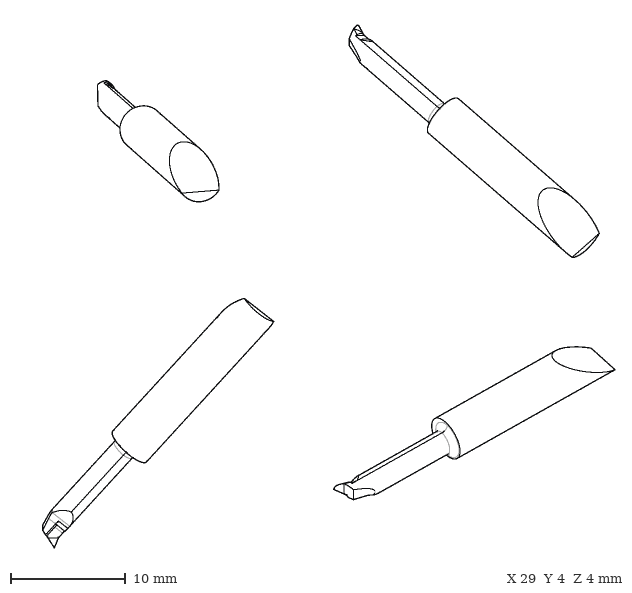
import cadquery as cq
import math

TOTAL_LENGTH = 29.0
SHANK_RADIUS = 2.0
SHANK_START = 11.55
SLANT_ANGLE = 30.0
SLANT_END_Z = -1.07

NECK_RADIUS = 1.28
CIRCLE_OFFSET = 0.44
FLARE_RADIUS = 0.58
CREASE_Y = -CIRCLE_OFFSET / 2
NECK_SIDE_Y = NECK_RADIUS - CIRCLE_OFFSET

TIP_Y = 1.2
NOSE_X = 0.7
NOSE_Y = -0.72
SIDE_FLAT_END_X = 2.67
HEAD_LENGTH = 1.0
INSERT_EDGE_Y = 0.15
INSERT_EDGE_X = NOSE_X * (TIP_Y - INSERT_EDGE_Y) / (TIP_Y - NOSE_Y)

BACK_MID_INSET = 0.32
BACK_MID_HEIGHT = 0.75
BACK_TOP_INSET = 0.85

RAKE_STEP = 0.2
STEP_TOP_Y = -0.05
RUNOUT_ANGLE = 32.0
RUNOUT_END_X = 3.97
RUNOUT_FILLET = 1.3

RELIEF_NORMAL_ANGLE = math.acos(-CREASE_Y / NECK_RADIUS) / 2
RELIEF_DISTANCE = NECK_RADIUS * math.cos(RELIEF_NORMAL_ANGLE)
RELIEF_END_X = 2.2
RELIEF_RUNOUT_ANGLE = 23.0

REACH = 2 * SHANK_RADIUS


def make_shank():
    """Round bar, cut by a plane that slopes down towards the rear."""
    shank = cq.Workplane("YZ", origin=(SHANK_START, 0, 0)).circle(SHANK_RADIUS)
    shank = shank.extrude(TOTAL_LENGTH - SHANK_START)
    slant_height = SHANK_RADIUS - SLANT_END_Z
    slant_length = slant_height / math.tan(math.radians(SLANT_ANGLE))
    slant = (
        cq.Workplane("XZ")
        .moveTo(TOTAL_LENGTH, SLANT_END_Z)
        .lineTo(TOTAL_LENGTH, SHANK_RADIUS)
        .lineTo(TOTAL_LENGTH - slant_length, SHANK_RADIUS)
        .close()
        .extrude(REACH, both=True)
    )
    return shank.cut(slant)


def make_flared_rod(center_y):
    """Round rod behind the head that flares out by a concave fillet where it meets the shank."""
    diagonal = FLARE_RADIUS * (1 - math.sqrt(0.5))
    flare_start = SHANK_START - FLARE_RADIUS
    return (
        cq.Workplane("XY", origin=(0, center_y, 0))
        .moveTo(HEAD_LENGTH, 0)
        .lineTo(HEAD_LENGTH, NECK_RADIUS)
        .lineTo(flare_start, NECK_RADIUS)
        .threePointArc(
            (SHANK_START - diagonal, NECK_RADIUS + diagonal),
            (SHANK_START, NECK_RADIUS + FLARE_RADIUS),
        )
        .lineTo(SHANK_START, 0)
        .close()
        .revolve(360, (0, 0, 0), (1, 0, 0))
    )


def make_relief():
    """Prism leaving a flat on the neck behind the head, with a sloped run-out."""
    normal = (0, math.cos(RELIEF_NORMAL_ANGLE), math.sin(RELIEF_NORMAL_ANGLE))
    across = (0, -normal[2], normal[1])
    plane = cq.Plane(origin=(0, -CIRCLE_OFFSET, 0), xDir=(1, 0, 0), normal=across)
    depth = NECK_RADIUS - RELIEF_DISTANCE
    runout_slope = math.tan(math.radians(RELIEF_RUNOUT_ANGLE))
    outside = NECK_RADIUS + depth
    return (
        cq.Workplane(plane)
        .moveTo(HEAD_LENGTH, RELIEF_DISTANCE)
        .lineTo(RELIEF_END_X - depth / runout_slope, RELIEF_DISTANCE)
        .lineTo(RELIEF_END_X + depth / runout_slope, outside)
        .lineTo(HEAD_LENGTH, outside)
        .close()
        .extrude(REACH, both=True)
    )


def make_neck():
    """Overlap of two flared rods, ground flat behind the head."""
    lens = make_flared_rod(0).intersect(make_flared_rod(-CIRCLE_OFFSET))
    return lens.cut(make_relief())


def make_head():
    """Round stub, trimmed on the +Y side by a convex surface along the back edge."""
    drop = TIP_Y - NECK_SIDE_Y
    plane = cq.Plane(
        origin=(0, TIP_Y, 0),
        xDir=(drop, HEAD_LENGTH, 0),
        normal=(HEAD_LENGTH, -drop, 0),
    )
    kept = (
        cq.Workplane(plane)
        .moveTo(0, -REACH)
        .lineTo(0, 0)
        .threePointArc((-BACK_MID_INSET, BACK_MID_HEIGHT), (-BACK_TOP_INSET, NECK_RADIUS))
        .lineTo(-REACH, NECK_RADIUS)
        .lineTo(-REACH, -REACH)
        .close()
        .extrude(REACH, both=True)
    )
    return cq.Workplane("YZ").circle(NECK_RADIUS).extrude(HEAD_LENGTH).intersect(kept)


def make_front_cut():
    """Prism in front of the slanted nose and beside the -Y side flat."""
    return (
        cq.Workplane("XY")
        .moveTo(0, TIP_Y)
        .lineTo(NOSE_X, NOSE_Y)
        .lineTo(SIDE_FLAT_END_X, -NECK_RADIUS)
        .lineTo(SIDE_FLAT_END_X, -REACH)
        .lineTo(-REACH, -REACH)
        .lineTo(-REACH, TIP_Y)
        .close()
        .extrude(REACH, both=True)
    )


def make_rake_prism(face_z):
    """Space below a rake face at face_z, with a filleted slope down to the neck."""
    slope = math.tan(math.radians(RUNOUT_ANGLE))
    corner_x = RUNOUT_END_X - (face_z + NECK_RADIUS) / slope
    prism = (
        cq.Workplane("XZ")
        .moveTo(-REACH, face_z)
        .lineTo(corner_x, face_z)
        .lineTo(RUNOUT_END_X + REACH, -NECK_RADIUS - REACH * slope)
        .lineTo(-REACH, -NECK_RADIUS - REACH * slope)
        .close()
        .extrude(REACH, both=True)
    )
    corner = cq.selectors.NearestToPointSelector((corner_x, 0, face_z))
    return prism.edges(corner).fillet(RUNOUT_FILLET)


def make_rake_cut():
    """Low rake face across the whole width, raised to the axis on the +Y side."""
    high_side = (
        cq.Workplane("YZ", origin=(-REACH, 0, 0))
        .moveTo(STEP_TOP_Y, 0)
        .lineTo(REACH, 0)
        .lineTo(REACH, -RAKE_STEP)
        .lineTo(STEP_TOP_Y - RAKE_STEP, -RAKE_STEP)
        .close()
        .extrude(3 * REACH)
    )
    raised = make_rake_prism(0).intersect(high_side)
    return make_rake_prism(-RAKE_STEP).union(raised)


def make_insert_space():
    """Upright triangular prism that the cutting insert occupies."""
    return (
        cq.Workplane("XY")
        .moveTo(0, TIP_Y)
        .lineTo(INSERT_EDGE_X, INSERT_EDGE_Y)
        .lineTo(HEAD_LENGTH, NECK_SIDE_Y)
        .close()
        .extrude(REACH, both=True)
    )


tool = make_shank().union(make_neck()).union(make_head())
tool = tool.cut(make_front_cut()).cut(make_rake_cut())
holder = tool.cut(make_insert_space())
insert = tool.intersect(make_insert_space())

result = cq.Compound.makeCompound([*holder.solids().vals(), *insert.solids().vals()])